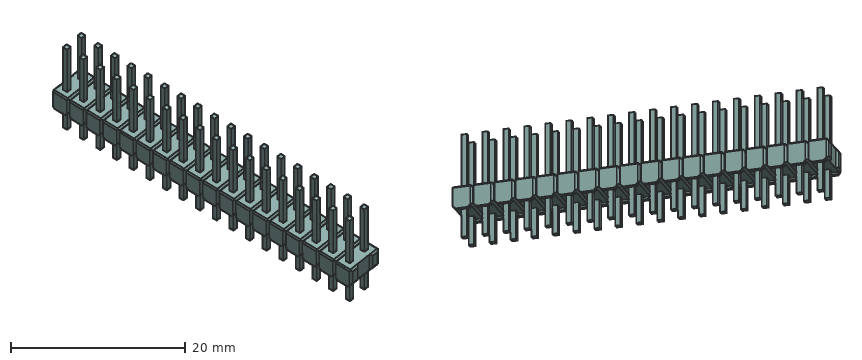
import cadquery as cq


overall_length = 45.7
housing_width = 5.0
overall_height = 12.7
column_count = 18
pitch = overall_length / column_count
row_offsets = (-pitch / 2, pitch / 2)

housing_height = 2.75
foot_width = 0.5
foot_height = 0.27

groove_depth_x = 0.25
top_groove_depth_z = 0.27
side_groove_depth_y = 0.35
bottom_chamfer_x = 0.45
bottom_chamfer_z = 0.55

long_edge_chamfer = 0.2

recess_depth = groove_depth_x
recess_floor_width = 2.0
recess_wall_run = 0.3

pin_size = 0.65
pin_tail = 3.25


def column_positions():
    first = -(column_count - 1) * pitch / 2
    return [first + i * pitch for i in range(column_count)]


def mirrored_outline(half):
    """Close a half outline by mirroring it about the second coordinate axis."""
    return half + [(-u, v) for u, v in reversed(half)]


def make_cell_side_profile():
    """Cell outline in XZ, extruded across the housing width."""
    half_x = pitch / 2
    half = [
        (half_x - bottom_chamfer_x, 0),
        (half_x, bottom_chamfer_z),
        (half_x, housing_height - top_groove_depth_z),
        (half_x - groove_depth_x, housing_height),
    ]
    profile = cq.Workplane("XZ").polyline(mirrored_outline(half)).close()
    return profile.extrude(housing_width / 2, both=True)


def make_cell_plan_profile():
    """Cell outline in XY, with its four corners cut off, extruded over the housing height."""
    half_x = pitch / 2
    half_y = housing_width / 2
    half = [
        (half_x - groove_depth_x, -half_y),
        (half_x, -half_y + side_groove_depth_y),
        (half_x, half_y - side_groove_depth_y),
        (half_x - groove_depth_x, half_y),
    ]
    return cq.Workplane("XY").polyline(mirrored_outline(half)).close().extrude(housing_height)


def make_housing_section():
    """Housing cross-section in YZ, standing on its two feet, extruded over the full length."""
    half_y = housing_width / 2
    half = [
        (half_y - foot_width, foot_height),
        (half_y - foot_width, 0),
        (half_y, 0),
        (half_y, housing_height - long_edge_chamfer),
        (half_y - long_edge_chamfer, housing_height),
    ]
    section = cq.Workplane("YZ").polyline(mirrored_outline(half)).close()
    return section.extrude(overall_length / 2, both=True)


def make_end_recess(side):
    """Full-height recess in one end face; side is -1 or 1 along X."""
    end_x = side * overall_length / 2
    floor_x = end_x - side * recess_depth
    floor_y = recess_floor_width / 2
    mouth_y = floor_y + recess_wall_run
    outline = [(end_x, -mouth_y), (floor_x, -floor_y), (floor_x, floor_y), (end_x, mouth_y)]
    return cq.Workplane("XY").polyline(outline).close().extrude(housing_height)


def make_housing():
    cell = make_cell_side_profile().intersect(make_cell_plan_profile())
    housing = cq.Workplane("XY")
    for x in column_positions():
        housing = housing.union(cell.translate((x, 0, 0)))
    housing = housing.intersect(make_housing_section())
    for side in (-1, 1):
        housing = housing.cut(make_end_recess(side))
    return housing


def make_pins():
    centres = [(x, y) for x in column_positions() for y in row_offsets]
    pins = cq.Workplane("XY").workplane(offset=-pin_tail).pushPoints(centres)
    return pins.rect(pin_size, pin_size).extrude(overall_height)


result = make_housing().union(make_pins())